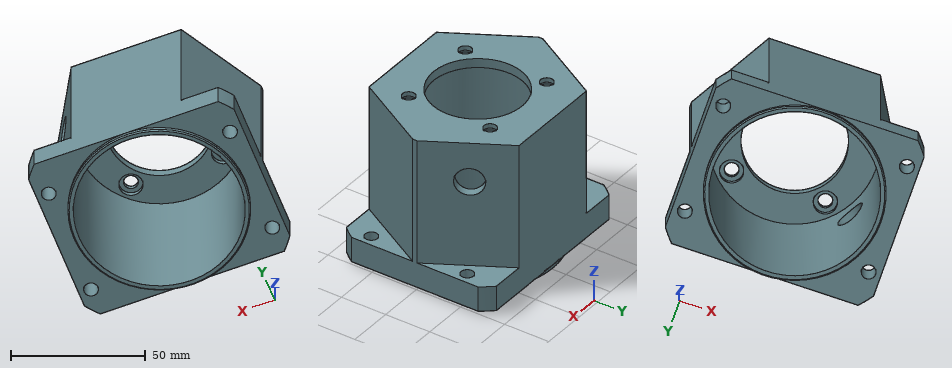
import cadquery as cq
import math

length = 82.0
depth = 68.0
height = 68.0
plate_thickness = 11.0
plate_corner_diameter = 100.0
slanted_flats = 72.0
slant_angle = 30.0

spigot_diameter = 68.0
spigot_height = 2.0
spigot_chamfer = 0.5

top_wall = 4.0
bore_diameter = 64.0
opening_diameter = 40.0

screw_diameter = 5.5
top_screw_spacing = 36.9
head_diameter = 9.0
head_seat_thickness = 2.0
plate_screw_spacing_x = 72.3
plate_screw_spacing_y = 43.5
plate_screw_offset_y = -1.3

side_hole_diameter = 12.0
side_hole_drop = 17.4

top_z = height - spigot_height


def make_plate():
    """Rectangular flange with its corners turned to a circle."""
    block = cq.Workplane("XY").rect(length, depth).extrude(plate_thickness)
    disc = cq.Workplane("XY").circle(plate_corner_diameter / 2).extrude(plate_thickness)
    return block.intersect(disc)


def make_body():
    """Hexagonal housing with its two pointed sides cut flat."""
    slant = math.radians(slant_angle)
    half_flats = slanted_flats / 2
    corner_x = (half_flats - depth / 2 * math.sin(slant)) / math.cos(slant)
    tip_y = (half_flats - length / 2 * math.cos(slant)) / math.sin(slant)
    return (
        cq.Workplane("XY")
        .moveTo(corner_x, depth / 2)
        .lineTo(length / 2, tip_y)
        .lineTo(length / 2, -tip_y)
        .lineTo(corner_x, -depth / 2)
        .lineTo(-corner_x, -depth / 2)
        .lineTo(-length / 2, -tip_y)
        .lineTo(-length / 2, tip_y)
        .lineTo(-corner_x, depth / 2)
        .close()
        .extrude(top_z)
    )


def make_spigot():
    """Round locating collar below the plate."""
    return (
        cq.Workplane("XY")
        .circle(spigot_diameter / 2)
        .extrude(-spigot_height)
        .faces("<Z")
        .edges()
        .chamfer(spigot_chamfer)
    )


def make_bore():
    """Wide bore from below, stopping at the top wall, with a narrower opening above."""
    bore = (
        cq.Workplane("XY", origin=(0, 0, -spigot_height))
        .circle(bore_diameter / 2)
        .extrude(height - top_wall)
    )
    opening = cq.Workplane("XY").circle(opening_diameter / 2).extrude(top_z)
    return bore.union(opening)


def make_screw_holes(spacing_x, spacing_y, center_y):
    """Four vertical through holes in a rectangular pattern."""
    return (
        cq.Workplane("XY", origin=(0, center_y, -spigot_height))
        .rect(spacing_x, spacing_y, forConstruction=True)
        .vertices()
        .circle(screw_diameter / 2)
        .extrude(height)
    )


def make_head_recesses():
    """Counterbores entering the top wall from inside the bore."""
    return (
        cq.Workplane("XY", origin=(0, 0, top_z - top_wall))
        .rect(top_screw_spacing, top_screw_spacing, forConstruction=True)
        .vertices()
        .circle(head_diameter / 2)
        .extrude(top_wall - head_seat_thickness)
    )


def make_side_hole():
    """Radial hole through the slanted wall facing +X and +Y."""
    return (
        cq.Workplane("YZ", origin=(0, 0, top_z - side_hole_drop))
        .circle(side_hole_diameter / 2)
        .extrude(length / 2)
        .rotate((0, 0, 0), (0, 0, 1), slant_angle)
    )


result = (
    make_plate()
    .union(make_body())
    .union(make_spigot())
    .cut(make_bore())
    .cut(make_screw_holes(top_screw_spacing, top_screw_spacing, 0))
    .cut(make_screw_holes(plate_screw_spacing_x, plate_screw_spacing_y, plate_screw_offset_y))
    .cut(make_head_recesses())
    .cut(make_side_hole())
)